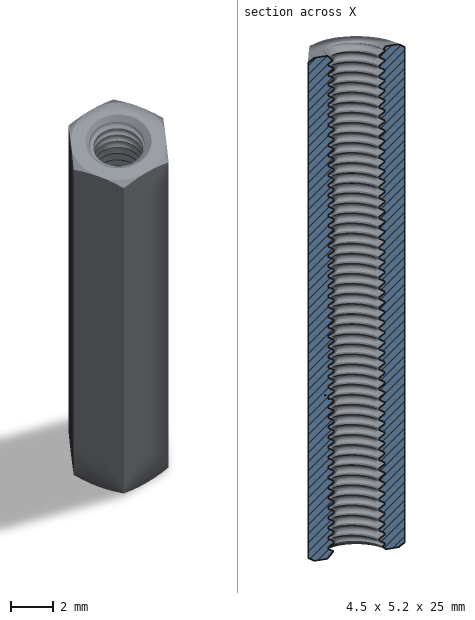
import cadquery as cq
import math


sides = 6
length = 25.0
across_flats = 4.5
across_corners = across_flats / math.cos(math.pi / sides)

end_face_diameter = across_flats
corner_chamfer_angle = 30.0

pitch = 0.5
major_diameter = 3.0
thread_height_factor = 1.2269
minor_diameter = major_diameter - thread_height_factor * pitch
root_flat = pitch / 8
flank_angle = 30.0
thread_start_angle = -145.0
overrun_turns = 2

countersink_diameter = 3.12


def hex_body():
    """Hexagonal prism with two corners on the Y axis."""
    prism = cq.Workplane("XY").polygon(sides, across_corners).extrude(length)
    return prism.rotate((0, 0, 0), (0, 0, 1), 180 / sides)


def chamfer_envelope():
    """Solid of revolution whose conical ends trim the corners of the hexagon."""
    face_radius = end_face_diameter / 2
    outer_radius = across_corners
    drop = (outer_radius - face_radius) * math.tan(math.radians(corner_chamfer_angle))
    profile = (
        cq.Workplane("XZ")
        .moveTo(0, 0)
        .lineTo(face_radius, 0)
        .lineTo(outer_radius, drop)
        .lineTo(outer_radius, length - drop)
        .lineTo(face_radius, length)
        .lineTo(0, length)
        .close()
    )
    return profile.revolve(360, (0, 0, 0), (0, 1, 0))


def thread_profile():
    """(radius, height) points of one thread pitch, from one crest edge to the next."""
    crest_radius = minor_diameter / 2
    root_radius = major_diameter / 2
    flank_height = (root_radius - crest_radius) * math.tan(math.radians(flank_angle))
    return [
        (crest_radius, 0),
        (root_radius, flank_height),
        (root_radius, flank_height + root_flat),
        (crest_radius, 2 * flank_height + root_flat),
        (crest_radius, pitch),
    ]


def helix_edge(radius, start_height):
    """One turn of a helix about the Z axis."""
    return cq.Wire.makeHelix(pitch, pitch, radius, cq.Vector(0, 0, start_height)).Edges()[0]


def thread_turn(profile, base):
    """Helical faces of one turn: flank, root, flank and crest."""
    faces = []
    for (radius_a, height_a), (radius_b, height_b) in zip(profile, profile[1:]):
        lower_edge = helix_edge(radius_a, base + height_a)
        upper_edge = helix_edge(radius_b, base + height_b)
        faces.append(cq.Face.makeRuledSurface(lower_edge, upper_edge))
    return faces


def core_end(profile, height):
    """Helicoid and flat radial step that together close one end of the threaded core."""
    axis_edge = cq.Edge.makeLine(cq.Vector(0, 0, height), cq.Vector(0, 0, height + pitch))
    helicoid = cq.Face.makeRuledSurface(axis_edge, helix_edge(minor_diameter / 2, height))
    corners = [(0, 0)] + profile + [(0, pitch)]
    points = [cq.Vector(radius, 0, height + rise) for radius, rise in corners]
    step = cq.Face.makeFromWires(cq.Wire.makePolygon(points, close=True))
    return [helicoid, step]


def threaded_core():
    """Solid that fills the threaded bore and sticks out past both ends."""
    profile = thread_profile()
    turns = math.ceil(length / pitch) + 2 * overrun_turns
    bottom = -overrun_turns * pitch
    top = bottom + turns * pitch
    faces = core_end(profile, bottom) + core_end(profile, top)
    for turn in range(turns):
        faces += thread_turn(profile, bottom + turn * pitch)
    core = cq.Solid.makeSolid(cq.Shell.makeShell(faces))
    return cq.Workplane(core).rotate((0, 0, 0), (0, 0, 1), thread_start_angle)


def countersink(face_height, inward):
    """45 degree cone at one end; inward is +1 or -1 along Z."""
    mouth_radius = countersink_diameter / 2
    centre = cq.Vector(0, 0, face_height)
    direction = cq.Vector(0, 0, inward)
    return cq.Workplane(cq.Solid.makeCone(mouth_radius, 0, mouth_radius, centre, direction))


result = hex_body().intersect(chamfer_envelope()).cut(threaded_core())
for end_height, inward_direction in ((0, 1), (length, -1)):
    result = result.cut(countersink(end_height, inward_direction))